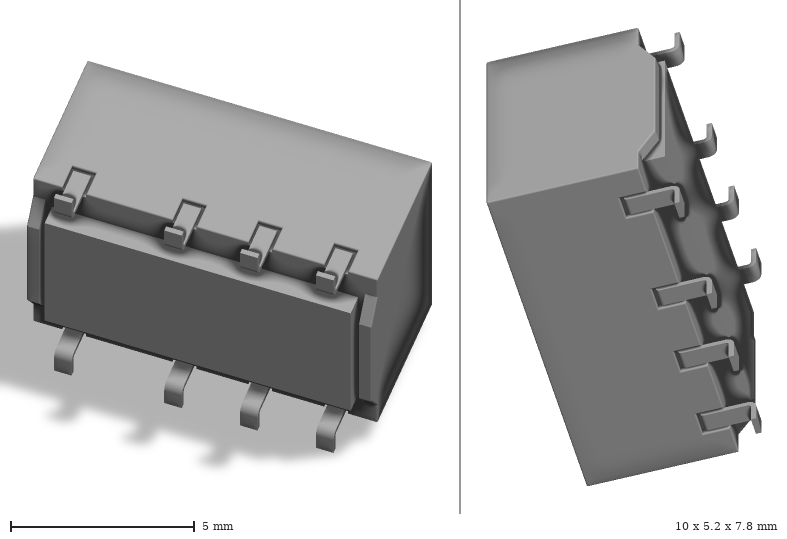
import cadquery as cq

length = 10.0
body_depth = 4.3
body_height = 6.46
edge_round = 0.045
front_y = 0.0

fin_thickness = 0.36
fin_reach = 0.48
fin_root_height = 4.88
fin_crest_height = 3.34

pad_length = 8.88
pad_height = 4.4
pad_reach = 0.59

overall_height = 7.8
lead_width = 0.51
lead_thickness = 0.15
lead_reach = 0.9
lead_inset = 0.68
bend_radius = 0.1
lead_positions = (-3.8, -0.6, 1.6, 3.8)

pocket_width = 0.69
pocket_length = 0.78
pocket_depth = 0.14


def make_block():
    """Plain housing block behind the front face."""
    return (
        cq.Workplane("XY")
        .box(length, body_depth, body_height, centered=(True, False, True))
        .translate((0, front_y, 0))
    )


def make_pad():
    """Flat pad that stands out from the middle of the front face."""
    return (
        cq.Workplane("XY")
        .box(pad_length, pad_reach, pad_height, centered=(True, False, True))
        .translate((0, front_y - pad_reach, 0))
    )


def make_fin(start_x):
    """Trapezoidal fin that extends in +X from start_x."""
    outline = [
        (front_y, -fin_root_height / 2),
        (front_y - fin_reach, -fin_crest_height / 2),
        (front_y - fin_reach, fin_crest_height / 2),
        (front_y, fin_root_height / 2),
    ]
    return (
        cq.Workplane("YZ", origin=(start_x, 0, 0))
        .polyline(outline)
        .close()
        .extrude(fin_thickness)
    )


def make_pocket(center_x):
    """Pocket in the upper face, open to the front."""
    return (
        cq.Workplane("XY")
        .box(pocket_width, pocket_length, pocket_depth, centered=(True, False, False))
        .translate((center_x, front_y, body_height / 2 - pocket_depth))
    )


def make_lead(center_x):
    """Upper lead: rounded root in the pocket, straight run forward, then a bend up to the tip."""
    top_z = body_height / 2
    bottom_z = top_z - lead_thickness
    tip_z = overall_height / 2
    root_y = front_y + lead_inset
    outer_y = front_y - lead_reach
    inner_y = outer_y + lead_thickness
    outer_radius = bend_radius + lead_thickness
    return (
        cq.Workplane("YZ", origin=(center_x - lead_width / 2, 0, 0))
        .moveTo(root_y, bottom_z)
        .lineTo(outer_y + outer_radius, bottom_z)
        .radiusArc((outer_y, bottom_z + outer_radius), outer_radius)
        .lineTo(outer_y, tip_z)
        .lineTo(inner_y, tip_z)
        .lineTo(inner_y, top_z + bend_radius)
        .radiusArc((inner_y + bend_radius, top_z), -bend_radius)
        .lineTo(root_y - bend_radius, top_z)
        .radiusArc((root_y, top_z - bend_radius), bend_radius)
        .close()
        .extrude(lead_width)
    )


housing = make_block()
for fin_start in (-length / 2, length / 2 - fin_thickness):
    housing = housing.union(make_fin(fin_start))

for lead_x in lead_positions:
    pocket = make_pocket(lead_x)
    housing = housing.cut(pocket).cut(pocket.mirror("XY"))

housing = housing.faces("<X or >X or <Z or >Z or >Y").edges().fillet(edge_round)

result = housing.union(make_pad())
for lead_x in lead_positions:
    lead = make_lead(lead_x)
    result = result.union(lead).union(lead.mirror("XY"))